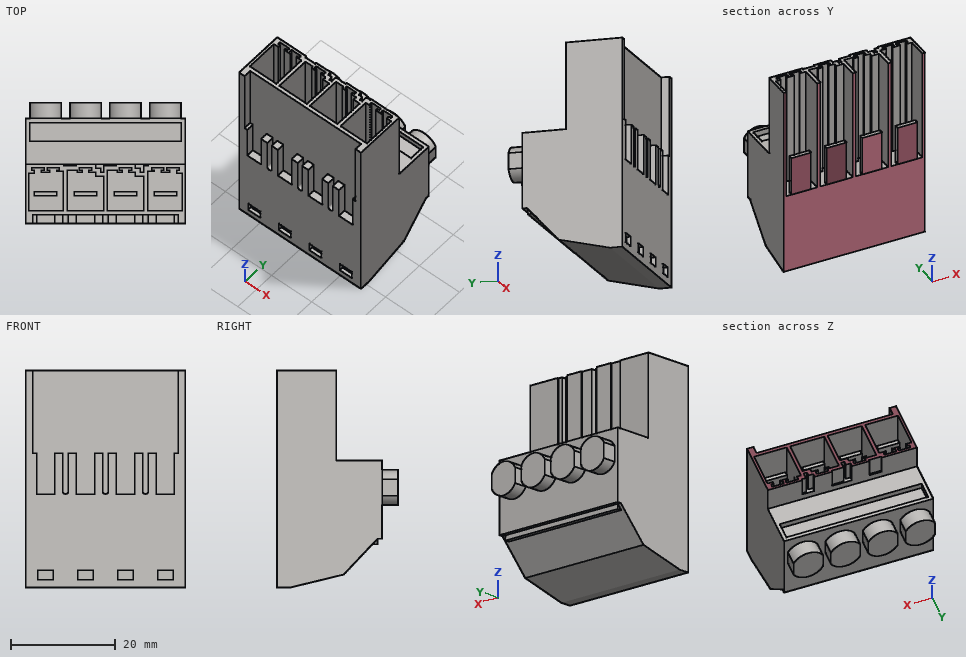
import cadquery as cq


width = 30.45
height = 41.45
pole_count = 4
pole_pitch = 7.63
tower_depth = 11.3
body_depth = 20.05
ledge_height = 24.3
rear_face_bottom = 9.33
slope_start_depth = 19.2
slope_end_depth = 12.73
slope_end_height = 2.5
base_depth = 2.45

front_recess_depth = 1.65
front_recess_width = 27.7
front_recess_bottom = 25.65
slot_bottom = 17.85
wide_slot_width = 3.45
narrow_slot_width = 1.08
window_width = 3.03
window_bottom = 1.5
window_top = 3.35
window_depth = 0.83

label_width = 28.95
label_front = 15.7
label_rear = 19.27
label_depth = 1.25

socket_floor = slot_bottom
socket_front = 2.5
outer_socket_near = 3.4
outer_socket_far = 3.2
inner_socket_half = 3.45
key_head_width = 2.32
key_neck_width = 1.33
key_rear = 10.7
key_neck_rear = 10.2
outer_key_offset = 1.45
outer_far_shoulder = 9.6
outer_near_shoulder = 9.95
tongue_depth = 9.8
tongue_side = 1.58
corner_step_side = 1.9
corner_step_depth = 9.05

notch_bottom = front_recess_bottom
relief_depth = 11.03
notch_step_depth = 10.55
notch_floor_depth = 9.8
notch_start = 1.9
notch_step = 2.85
notch_end = 3.45
relief_end = 5.9
relief_limit = 8.15

rib_width = label_width
rib_height = 1.05
rib_thickness = 1.25

blade_width = 4.3
blade_thickness = 0.8
blade_depth_position = 5.7
blade_height = 8.3

button_diameter = 6.8
button_flat_width = 6.0
button_length = 3.03
button_height_position = 19.15

row_half = pole_pitch * (pole_count - 1) / 2
pole_centres = [i * pole_pitch - row_half for i in range(pole_count)]
gap_centres = [x + pole_pitch / 2 for x in pole_centres[:-1]]


def box(x_range, y_range, z_range):
    """Box that fills the three given ranges."""
    (x0, x1), (y0, y1), (z0, z1) = x_range, y_range, z_range
    return cq.Workplane("XY").box(x1 - x0, y1 - y0, z1 - z0, centered=False).translate((x0, y0, z0))


def centred(centre, size):
    """Range of the given size about a centre."""
    return (centre - size / 2, centre + size / 2)


def column(points, bottom):
    """Plan outline extruded from a level up to the top of the housing."""
    return cq.Workplane("XY").workplane(offset=bottom).polyline(points).close().extrude(height - bottom)


def housing_blank():
    """Stepped side profile swept across the whole width."""
    profile = [
        (0, 0),
        (base_depth, 0),
        (slope_end_depth, slope_end_height),
        (slope_start_depth, rear_face_bottom),
        (body_depth, rear_face_bottom),
        (body_depth, ledge_height),
        (tower_depth, ledge_height),
        (tower_depth, height),
        (0, height),
    ]
    return cq.Workplane("YZ").polyline(profile).close().extrude(width / 2, both=True)


def front_cuts():
    """Wide recess, the slots that run down from it and the windows near the base."""
    depth_range = (0, front_recess_depth)
    cuts = box(centred(0, front_recess_width), depth_range, (front_recess_bottom, height))
    for x in pole_centres:
        cuts = cuts.union(box(centred(x, wide_slot_width), depth_range, (slot_bottom, front_recess_bottom)))
        cuts = cuts.union(box(centred(x, window_width), (0, window_depth), (window_bottom, window_top)))
    radius = narrow_slot_width / 2
    for x in gap_centres:
        slot = box(centred(x, narrow_slot_width), depth_range, (slot_bottom + radius, front_recess_bottom))
        slot_end = (
            cq.Workplane("XZ")
            .center(x, slot_bottom + radius)
            .circle(radius)
            .extrude(-front_recess_depth)
        )
        cuts = cuts.union(slot).union(slot_end)
    return cuts


def label_pocket():
    """Shallow pocket for a label strip, open at the top of the ledge."""
    levels = (ledge_height - label_depth, ledge_height)
    return box(centred(0, label_width), (label_front, label_rear), levels)


def key_groove(centre, neck_front):
    """T-shaped coding groove whose neck opens towards the socket."""
    levels = (socket_floor, height)
    head = box(centred(centre, key_head_width), (key_neck_rear, key_rear), levels)
    neck = box(centred(centre, key_neck_width), (neck_front, key_neck_rear), levels)
    return head.union(neck)


def outer_socket(centre):
    """Socket of the first pole, with two coding grooves and a shoulder on each side."""
    far_side = centre - outer_socket_far
    near_side = centre + outer_socket_near
    far_key = centre - outer_key_offset
    near_key = centre + outer_key_offset
    plan = [
        (far_side, socket_front),
        (far_side, outer_far_shoulder),
        (far_key, outer_far_shoulder),
        (far_key, tongue_depth),
        (near_key, tongue_depth),
        (near_key, outer_near_shoulder),
        (near_side, outer_near_shoulder),
        (near_side, socket_front),
    ]
    socket = column(plan, socket_floor)
    for key in (far_key, near_key):
        socket = socket.union(key_groove(key, outer_far_shoulder))
    return socket


def inner_socket(centre):
    """Socket of a middle pole, with one coding groove and a stepped corner."""
    left = centre - inner_socket_half
    right = centre + inner_socket_half
    plan = [
        (left, socket_front),
        (left, key_neck_rear),
        (centre - tongue_side, key_neck_rear),
        (centre - tongue_side, tongue_depth),
        (centre + corner_step_side, tongue_depth),
        (centre + corner_step_side, corner_step_depth),
        (right, corner_step_depth),
        (right, socket_front),
    ]
    return column(plan, socket_floor).union(key_groove(centre, tongue_depth))


def sockets():
    """All sockets; the last one mirrors the first."""
    first = outer_socket(pole_centres[0])
    cuts = first.union(first.mirror("YZ"))
    for x in pole_centres[1:-1]:
        cuts = cuts.union(inner_socket(x))
    return cuts


def tower_notches():
    """Stepped notch behind each middle pole, and a shallow relief beside each gap."""
    levels = (notch_bottom, height)
    cuts = cq.Workplane("XY")
    for x in pole_centres[1:-1]:
        cuts = cuts.union(box((x + notch_start, x + notch_end), (notch_step_depth, tower_depth), levels))
        cuts = cuts.union(box((x + notch_step, x + notch_end), (notch_floor_depth, tower_depth), levels))
    for x in pole_centres[:-1]:
        relief_range = (max(x + notch_end, -relief_limit), min(x + relief_end, relief_limit))
        cuts = cuts.union(box(relief_range, (relief_depth, tower_depth), levels))
    return cuts


def rear_rib():
    """Small rib that hangs below the step at the top of the rear slope."""
    return box(
        centred(0, rib_width),
        (slope_start_depth - rib_thickness, slope_start_depth),
        (rear_face_bottom - rib_height, rear_face_bottom),
    )


def make_housing():
    housing = housing_blank().union(rear_rib())
    for cut in (front_cuts(), label_pocket(), sockets(), tower_notches()):
        housing = housing.cut(cut)
    return housing


def make_blade(centre):
    """Flat contact that stands on the socket floor."""
    return box(
        centred(centre, blade_width),
        centred(blade_depth_position, blade_thickness),
        (socket_floor, socket_floor + blade_height),
    )


def make_button(centre):
    """Round button on the rear face, flattened on both sides."""
    button = (
        cq.Workplane("XZ", origin=(centre, body_depth, button_height_position))
        .circle(button_diameter / 2)
        .extrude(-button_length)
    )
    flats = box(
        centred(centre, button_flat_width),
        (body_depth, body_depth + button_length),
        centred(button_height_position, button_diameter),
    )
    return button.intersect(flats)


housing = make_housing()
blades = [make_blade(x) for x in pole_centres]
buttons = [make_button(x) for x in pole_centres]

result = cq.Compound.makeCompound(
    [housing.val()] + [blade.val() for blade in blades] + [button.val() for button in buttons]
)